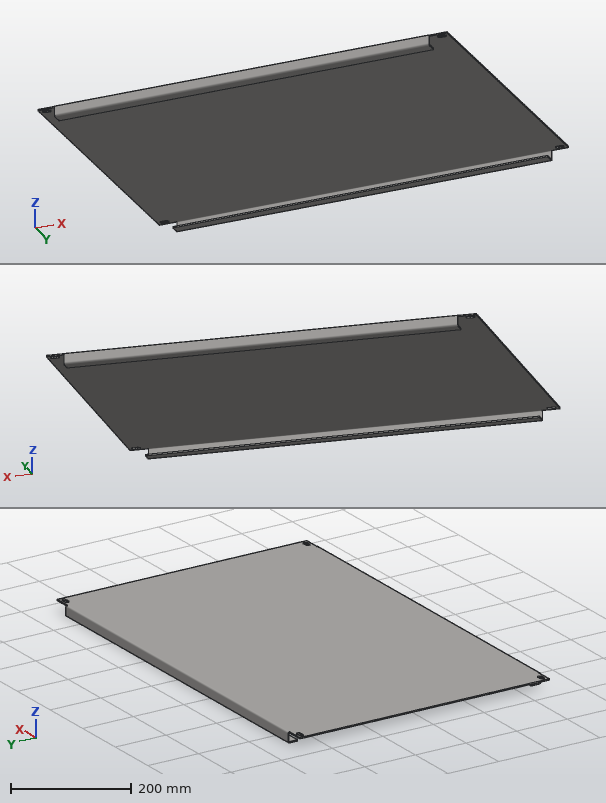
import cadquery as cq

length = 745.0
width = 500.0
height = 20.0

sheet = 2.5
inner_bend_radius = 1.0
outer_bend_radius = inner_bend_radius + sheet
lip_width = 19.0
end_setback = 31.0
flange_length = length - 2 * end_setback

plate_width = width - 2 * outer_bend_radius

slot_length = 15.0
slot_width = 7.5
slot_end_inset = 13.0
slot_side_inset = 8.0


def make_plate():
    """Flat top sheet, with its upper face at Z = 0."""
    return cq.Workplane("XY").box(length, plate_width, sheet, centered=(True, True, False)).translate(
        (0, 0, -sheet)
    )


def make_channel():
    """Sheet folded down along both long sides and returned inward as lips."""
    outer = (
        cq.Workplane("XY")
        .box(flange_length, width, height, centered=(True, True, False))
        .edges("|X")
        .fillet(outer_bend_radius)
    )
    inner = (
        cq.Workplane("XY")
        .box(flange_length, width - 2 * sheet, height - 2 * sheet, centered=(True, True, False))
        .edges("|X")
        .fillet(inner_bend_radius)
        .translate((0, 0, sheet))
    )
    lip_gap = cq.Workplane("XY").box(
        flange_length, width - 2 * lip_width, 2 * sheet, centered=(True, True, True)
    )
    return outer.cut(inner).cut(lip_gap).translate((0, 0, -height))


def make_corner_slots():
    """One lengthwise slot through the plate at each corner."""
    slot_x_spacing = length - 2 * slot_end_inset
    slot_y_spacing = plate_width - 2 * slot_side_inset
    return (
        cq.Workplane("XY")
        .rarray(slot_x_spacing, slot_y_spacing, 2, 2)
        .slot2D(slot_length, slot_width)
        .extrude(-sheet)
    )


result = make_plate().union(make_channel()).cut(make_corner_slots())